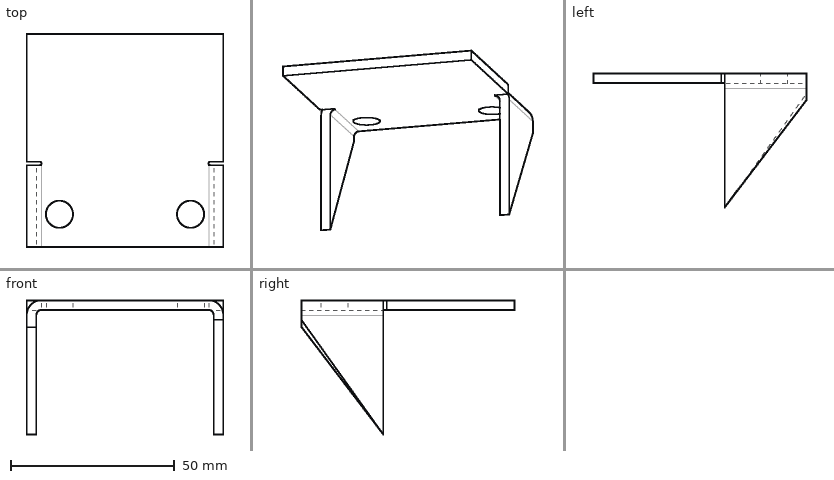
import cadquery as cq

width = 60.0
length = 65.0
height = 41.0
thickness = 3.0
inner_bend_radius = 1.5
outer_bend_radius = inner_bend_radius + thickness

flange_length = 25.0
left_front_height = 8.2
right_front_height = 6.0

relief_width = 1.0
relief_depth = outer_bend_radius

hole_diameter = 8.2
hole_inset = 10.0

half_width = width / 2


def bent_profile():
    """Plate and both flanges, as a bent strip running along the flange length."""
    bend_x = half_width - outer_bend_radius
    inner_x = half_width - thickness
    channel = (
        cq.Workplane("XZ")
        .moveTo(-half_width, -height)
        .lineTo(-half_width, -outer_bend_radius)
        .radiusArc((-bend_x, 0), outer_bend_radius)
        .lineTo(bend_x, 0)
        .radiusArc((half_width, -outer_bend_radius), outer_bend_radius)
        .lineTo(half_width, -height)
        .lineTo(inner_x, -height)
        .lineTo(inner_x, -outer_bend_radius)
        .radiusArc((bend_x, -thickness), -inner_bend_radius)
        .lineTo(-bend_x, -thickness)
        .radiusArc((-inner_x, -outer_bend_radius), -inner_bend_radius)
        .lineTo(-inner_x, -height)
        .close()
    )
    return channel.extrude(-flange_length)


def flat_plate():
    """Flat part behind the flanges, over the full width."""
    rear_length = length - flange_length
    return (
        cq.Workplane("XY")
        .box(width, rear_length, thickness, centered=(True, False, False))
        .translate((0, flange_length, -thickness))
    )


def taper_cut(front_height, side):
    """Wedge below the sloping lower edge of the flange on one side (-1 or +1)."""
    return (
        cq.Workplane("YZ")
        .moveTo(0, -front_height)
        .lineTo(flange_length, -height)
        .lineTo(0, -height)
        .close()
        .extrude(side * half_width)
    )


def relief_slot(side):
    """Round-ended slot behind the bend on one side (-1 or +1)."""
    end_radius = relief_width / 2
    slot_y = flange_length + end_radius
    end_x = half_width - relief_depth + end_radius
    straight = (
        cq.Workplane("XY")
        .center(side * (half_width + end_x) / 2, slot_y)
        .rect(half_width - end_x, relief_width)
        .extrude(-thickness)
    )
    round_end = (
        cq.Workplane("XY")
        .center(side * end_x, slot_y)
        .circle(end_radius)
        .extrude(-thickness)
    )
    return straight.union(round_end)


def holes():
    """Two through holes in the plate between the flanges."""
    hole_x = half_width - hole_inset
    return (
        cq.Workplane("XY")
        .pushPoints([(-hole_x, hole_inset), (hole_x, hole_inset)])
        .circle(hole_diameter / 2)
        .extrude(-thickness)
    )


result = bent_profile().union(flat_plate())
for side, front_height in ((-1, left_front_height), (1, right_front_height)):
    result = result.cut(taper_cut(front_height, side))
    result = result.cut(relief_slot(side))
result = result.cut(holes())